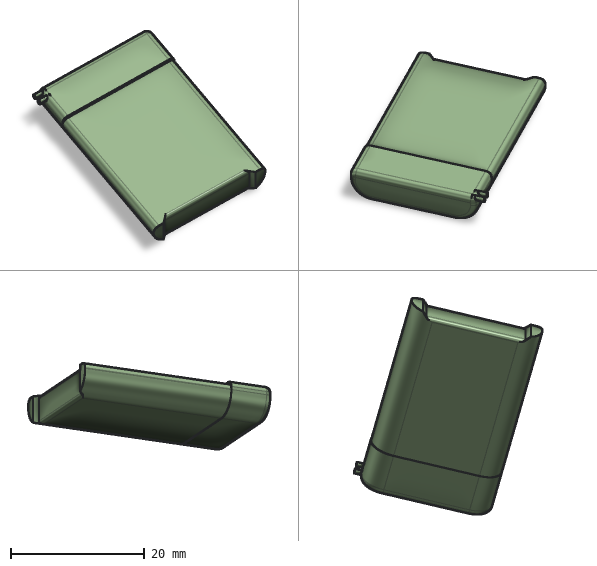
import cadquery as cq
import math

LENGTH = 31.0
WIDTH = 20.3
CAP_HEIGHT = 5.0
CELL_HEIGHT = 4.6
CAP_LENGTH = 6.82
BOTTOM_RADIUS = 3.5
TOP_RADIUS = 1.0
CAP_END_RADIUS = 1.0

NOTCH_DEPTH = 1.2
NOTCH_MARGIN = 1.8
LIP_RADIUS = 0.55

WIRE_DIAMETER = 0.7
WIRE_REACH = 1.0
WIRE_EMBEDDED = TOP_RADIUS
WIRE_POSITIONS = (0.8, 1.98)
WIRE_AXIS_HEIGHT = 4.53


def rounded_bar(start, length, height):
    """Bar along X with large rounds on its lower edges and small rounds on its upper edges."""
    diagonal = math.sqrt(0.5)
    low_inset = BOTTOM_RADIUS * (1 - diagonal)
    top_inset = TOP_RADIUS * (1 - diagonal)
    return (
        cq.Workplane("YZ", origin=(start, 0, 0))
        .moveTo(BOTTOM_RADIUS, 0)
        .lineTo(WIDTH - BOTTOM_RADIUS, 0)
        .threePointArc((WIDTH - low_inset, low_inset), (WIDTH, BOTTOM_RADIUS))
        .lineTo(WIDTH, height - TOP_RADIUS)
        .threePointArc((WIDTH - top_inset, height - top_inset), (WIDTH - TOP_RADIUS, height))
        .lineTo(TOP_RADIUS, height)
        .threePointArc((top_inset, height - top_inset), (0, height - TOP_RADIUS))
        .lineTo(0, BOTTOM_RADIUS)
        .threePointArc((low_inset, low_inset), (BOTTOM_RADIUS, 0))
        .close()
        .extrude(length)
    )


def make_notch():
    """Full-height cutter with 45 degree sides, less the rounded lip that stays on its floor."""
    floor = LENGTH - NOTCH_DEPTH
    floor_margin = NOTCH_MARGIN + NOTCH_DEPTH
    notch = (
        cq.Workplane("XY")
        .polyline([
            (LENGTH, NOTCH_MARGIN),
            (LENGTH, WIDTH - NOTCH_MARGIN),
            (floor, WIDTH - floor_margin),
            (floor, floor_margin),
        ])
        .close()
        .extrude(CELL_HEIGHT)
    )
    lip = (
        cq.Workplane("XY")
        .box(NOTCH_DEPTH, WIDTH, CELL_HEIGHT, centered=False)
        .translate((floor + LIP_RADIUS - NOTCH_DEPTH, 0, 0))
        .edges(">X and |Y")
        .fillet(LIP_RADIUS)
    )
    return notch.cut(lip)


def make_wire(x):
    """Straight round wire along Y, starting inside the cap."""
    return (
        cq.Workplane("XZ", origin=(x, WIRE_EMBEDDED, WIRE_AXIS_HEIGHT))
        .circle(WIRE_DIAMETER / 2)
        .extrude(WIRE_EMBEDDED + WIRE_REACH)
    )


wires = [make_wire(x) for x in WIRE_POSITIONS]

cap = rounded_bar(0, CAP_LENGTH, CAP_HEIGHT).faces("<X").edges().fillet(CAP_END_RADIUS)
for wire in wires:
    cap = cap.cut(wire)

cell = rounded_bar(CAP_LENGTH, LENGTH - CAP_LENGTH, CELL_HEIGHT).cut(make_notch())

result = cq.Compound.makeCompound([cell.val(), cap.val(), *[wire.val() for wire in wires]])